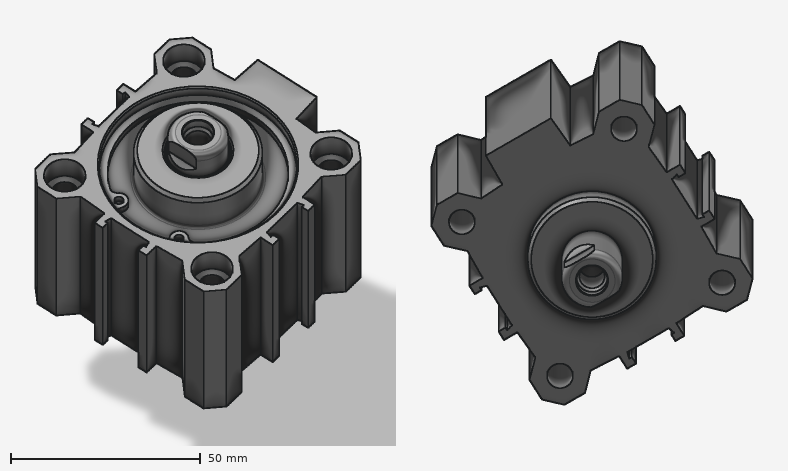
import cadquery as cq
import math

rod_length = 86.5
lower_rod_reach = 17.65
collar_height = 6.0
housing_height = 49.3
collar_bottom = lower_rod_reach
housing_bottom = collar_bottom + collar_height
housing_top = housing_bottom + housing_height
collar_top = housing_top + collar_height

housing_width = 65.0
housing_depth = 70.0
half_width = housing_width / 2
port_block_reach = housing_depth - half_width
port_block_root = 10.5
port_block_half_width = 10.0
corner_outer = 28.2
corner_inner = 21.8
web_corner = (17.3, 27.9)
rib_outer = 8.8
rib_root = 28.4
lip_inner = 6.05
lip_back = 30.4
notch_half_width = 6.9
slot_floor = 28.55
slot_floor_half_width = 6.4

bolt_offset = 25.0
bolt_hole_diameter = 6.8
bolt_seat_diameter = 11.0
bolt_seat_depth = 7.0

bore_diameter = 52.2
bore_chamfer = 0.4
cover_diameter = 51.8
cover_rim_chamfer = 0.3
cover_thickness = 10.0
cover_depth = 5.2
cover_face = housing_top - cover_depth
cover_bottom = cover_face - cover_thickness
collar_diameter = 34.0
collar_chamfer = 0.95
collar_root_fillet = 0.8

wiper_diameter = 17.7
wiper_bore = 16.5
wiper_height = 2.5
wiper_drop = 0.5
wiper_lip_chamfer = 0.3
wiper_seat_chamfer = 0.5
wiper_top = collar_top - wiper_drop
wiper_seat = wiper_top - wiper_height

ring_thickness = 2.0
ring_inner_diameter = 47.75
lug_x = 10.2
lug_y = -20.6
lug_radius = 2.5
lug_hole_diameter = 2.5
lug_fillet = 2.0
ring_end_x = 9.2

rod_diameter = 16.0
rod_end_fillet = 2.0
flat_spacing = 13.0
flat_length = 5.45
tap_mouth_diameter = 8.6
tap_relief_diameter = 8.2
tap_core_diameter = 6.7
tap_relief_depth = 2.8
tap_depth = 13.0
tap_cone_height = 0.6


def disc(diameter, bottom, top):
    return cq.Workplane("XY").workplane(offset=bottom).circle(diameter / 2).extrude(top - bottom)


def quarter_turn(points, turns):
    for _ in range(turns):
        points = [(-y, x) for x, y in points]
    return points


def slotted_side():
    """Points of the -Y side from its left web corner to its right one, with two hooked ribs."""
    right_half = [
        (slot_floor_half_width, -slot_floor),
        (notch_half_width, -lip_back),
        (lip_inner, -lip_back),
        (lip_inner, -half_width),
        (rib_outer, -half_width),
        (rib_outer, -rib_root),
        (web_corner[0], -web_corner[1]),
    ]
    left_half = [(-x, y) for x, y in reversed(right_half)]
    return left_half + right_half


def port_side():
    """Points of the +Y side from its right web corner to its left one, with the port block."""
    right_half = [
        web_corner,
        (port_block_root, rib_root),
        (port_block_half_width, port_block_reach),
    ]
    left_half = [(-x, y) for x, y in reversed(right_half)]
    return right_half + left_half


def corner_post():
    """Points of the corner post between the -Y and +X sides."""
    return [
        (corner_inner, -half_width),
        (corner_outer, -half_width),
        (half_width, -corner_outer),
        (half_width, -corner_inner),
    ]


def make_housing():
    outline = []
    for turns in range(4):
        side = port_side() if turns == 2 else quarter_turn(slotted_side(), turns)
        outline += side + quarter_turn(corner_post(), turns)
    housing = (
        cq.Workplane("XY").workplane(offset=housing_bottom).polyline(outline).close().extrude(housing_height)
    )

    collar = disc(collar_diameter, collar_bottom, housing_bottom)
    housing = housing.union(collar.faces("<Z").edges().chamfer(collar_chamfer))

    housing = (
        housing.faces(">Z")
        .workplane(origin=(0, 0, housing_top))
        .rect(2 * bolt_offset, 2 * bolt_offset, forConstruction=True)
        .vertices()
        .cboreHole(bolt_hole_diameter, bolt_seat_diameter, bolt_seat_depth)
    )

    recess = disc(bore_diameter, cover_bottom, housing_top)
    housing = housing.cut(recess)
    widest_circle = cq.selectors.RadiusNthSelector(-1)
    housing = housing.faces(">Z").edges("%CIRCLE").edges(widest_circle).chamfer(bore_chamfer)
    return housing.cut(disc(rod_diameter, collar_bottom, cover_bottom))


def make_cover():
    flange = disc(cover_diameter, cover_bottom, cover_face)
    flange = flange.faces(">Z").edges().chamfer(cover_rim_chamfer)
    collar = disc(collar_diameter, cover_face, collar_top)
    collar = collar.faces(">Z").edges().chamfer(collar_chamfer)
    cover = flange.union(collar)
    collar_root = cq.selectors.RadiusNthSelector(0)
    cover = cover.faces("|Z").faces(cq.selectors.CenterNthSelector(cq.Vector(0, 0, 1), -2))
    cover = cover.edges(collar_root).fillet(collar_root_fillet)

    cover = cover.cut(disc(wiper_diameter, wiper_seat, collar_top))
    cover = cover.faces(">Z").edges(cq.selectors.RadiusNthSelector(0)).chamfer(wiper_seat_chamfer)
    return cover.cut(disc(rod_diameter, cover_bottom, wiper_seat))


def make_wiper():
    wiper = disc(wiper_diameter, wiper_seat, wiper_top).cut(disc(wiper_bore, wiper_seat, wiper_top))
    return wiper.faces(">Z").edges(cq.selectors.RadiusNthSelector(0)).chamfer(wiper_lip_chamfer)


def ring_prism(points):
    return cq.Workplane("XY").workplane(offset=cover_face).polyline(points).close().extrude(ring_thickness)


def make_ring():
    ring_top = cover_face + ring_thickness
    outer_radius = bore_diameter / 2
    inner_radius = ring_inner_diameter / 2
    ring = disc(bore_diameter, cover_face, ring_top).cut(disc(ring_inner_diameter, cover_face, ring_top))

    end_y = -math.sqrt(outer_radius**2 - ring_end_x**2)
    to_lug_x = lug_x - ring_end_x
    to_lug_y = lug_y - end_y
    lug_distance = math.hypot(to_lug_x, to_lug_y)
    tangent_length = math.sqrt(lug_distance**2 - lug_radius**2)
    tangent_angle = math.atan2(to_lug_y, to_lug_x) + math.asin(lug_radius / lug_distance)
    tangent_x = ring_end_x + tangent_length * math.cos(tangent_angle)
    tangent_y = end_y + tangent_length * math.sin(tangent_angle)
    gap = [
        (-ring_end_x, end_y),
        (-tangent_x, tangent_y),
        (tangent_x, tangent_y),
        (ring_end_x, end_y),
        (ring_end_x, -outer_radius),
        (-ring_end_x, -outer_radius),
    ]
    ring = ring.cut(ring_prism(gap))

    lug_offset = math.hypot(lug_x, lug_y)
    neck_swing = math.acos((inner_radius**2 + lug_offset**2 - lug_radius**2) / (2 * inner_radius * lug_offset))
    neck_angle = math.atan2(lug_y, lug_x) + neck_swing
    neck_x = inner_radius * math.cos(neck_angle)
    neck_y = inner_radius * math.sin(neck_angle)

    for side in (-1, 1):
        lug_foot = [
            (side * ring_end_x, end_y),
            (side * tangent_x, tangent_y),
            (side * lug_x, lug_y),
        ]
        lug = disc(2 * lug_radius, cover_face, ring_top).translate((side * lug_x, lug_y, 0))
        ring = ring.union(ring_prism(lug_foot)).union(lug).clean()
        neck = cq.selectors.NearestToPointSelector((side * neck_x, neck_y, cover_face + ring_thickness / 2))
        ring = ring.edges("|Z").edges(neck).fillet(lug_fillet)
        ring = ring.cut(disc(lug_hole_diameter, cover_face, ring_top).translate((side * lug_x, lug_y, 0)))
    return ring


def rod_flat_cutter():
    """Material removed beside one flat at the lower rod end, ending in a 45 degree run-out."""
    flat = flat_spacing / 2
    reach = rod_diameter
    return (
        cq.Workplane("YZ")
        .polyline([(flat, 0), (flat, flat_length), (reach, flat_length + reach - flat), (reach, 0)])
        .close()
        .extrude(rod_diameter / 2, both=True)
    )


def rod_tap_cutter():
    """Stepped threaded hole at the lower rod end, with a conical bottom."""
    core = tap_core_diameter / 2
    relief = tap_relief_diameter / 2
    mouth = tap_mouth_diameter / 2
    profile = [
        (0, 0),
        (mouth, 0),
        (relief, mouth - relief),
        (relief, tap_relief_depth),
        (core, tap_relief_depth + relief - core),
        (core, tap_depth),
        (0, tap_depth + tap_cone_height),
    ]
    return cq.Workplane("XZ").polyline(profile).close().revolve(360, (0, 0, 0), (0, 1, 0))


def make_rod():
    rod = disc(rod_diameter, 0, rod_length).faces("|Z").edges().fillet(rod_end_fillet)
    flat = rod_flat_cutter()
    end_cutter = flat.union(flat.mirror("XZ")).union(rod_tap_cutter())
    rod = rod.cut(end_cutter)
    return rod.cut(end_cutter.mirror("XY").translate((0, 0, rod_length)))


housing = make_housing()
cover = make_cover()
wiper = make_wiper()
ring = make_ring()
rod = make_rod()

result = cq.Compound.makeCompound([housing.val(), cover.val(), wiper.val(), ring.val(), rod.val()])